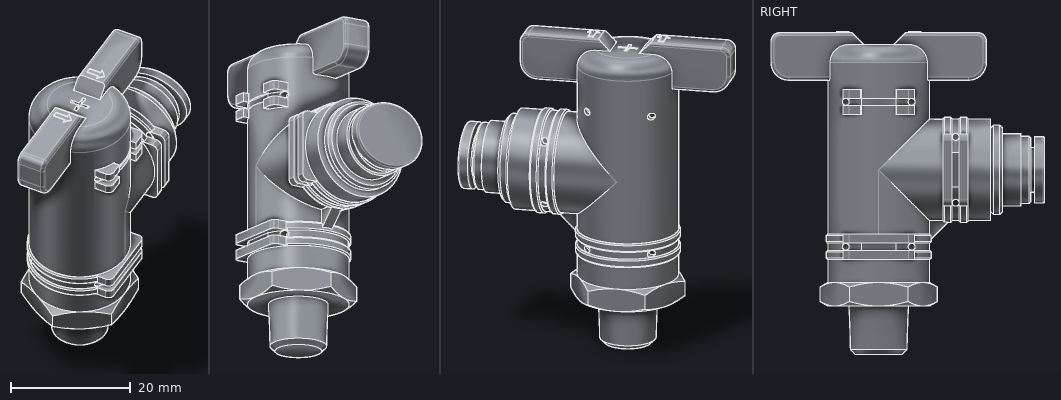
import cadquery as cq
import math

body_radius = 8.5
body_top = 51.8
dome_radius = 3.05

stud_bottom_radius = 4.75
stud_top_radius = 5.0
stud_chamfer = 0.85

hex_bottom = 8.1
hex_top = 12.05
hex_across_flats = 2 * body_radius
hex_bevel_angle = 30.0

branch_z = 30.85
branch_end = 18.7
collar_radius = 7.5
collar_end = 20.7
collar_bevel = 0.5
socket_radius = 6.05
socket_end = 23.75
sleeve_radius = 5.65
sleeve_end = 25.4
sleeve_chamfer = 0.3
neck_radius = 3.75
button_start = 26.0
button_end = 27.7
button_half_width = 6.55
button_half_height = 5.55
button_edge_round = 0.3

ring_radius = 8.8
ring_width = 1.5
ring_bevel = 0.25
clamp_gap = 1.2
ring_offset = (clamp_gap + ring_width) / 2
tab_reach = 9.0
tab_half_length = 6.0
tab_corner_radius = 1.0
gap_floor = tab_reach - tab_corner_radius
notch_half_length = 3.0
lower_clamp_z = 18.0
upper_clamp_z = 42.2
branch_clamp_y = 12.85

pin_diameter = 1.15
pin_offset = 5.5
core_radius = 7.5

rib_thickness = 2.0
rib_reach = 11.85

handle_reach = 18.0
handle_half_width = 2.5
handle_bottom = 45.8
handle_top = 53.8
handle_top_corner = 1.5
handle_bottom_corner = 3.0
handle_edge_round = 0.55
wing_inner_y = 2.5

arrow_y = 6.0
arrow_height = 0.15
arrow_half_length = 1.55
arrow_shaft_half_width = 0.45
arrow_head_half_width = 1.05
arrow_head_start = 0.55

cross_half_length = 1.65
cross_arm_width = 0.5


def cylinder(radius, start, end):
    """Cylinder along Z between two heights."""
    return cq.Workplane("XY").workplane(offset=start).circle(radius).extrude(end - start)


def to_branch(shape):
    """Move a shape built along Z onto the branch axis: its Z becomes Y."""
    return shape.rotate((0, 0, 0), (1, 0, 0), -90).translate((0, 0, branch_z))


def make_stud():
    outline = [
        (0, 0),
        (stud_bottom_radius - stud_chamfer, 0),
        (stud_bottom_radius, stud_chamfer),
        (stud_top_radius, hex_bottom),
        (0, hex_bottom),
    ]
    return cq.Workplane("XZ").polyline(outline).close().revolve(360, (0, 0), (0, 1))


def make_hexagon():
    corner_radius = hex_across_flats / 2 / math.cos(math.radians(30))
    hexagon = (
        cq.Workplane("XY")
        .workplane(offset=hex_bottom)
        .polygon(6, 2 * corner_radius)
        .extrude(hex_top - hex_bottom)
        .rotate((0, 0, 0), (0, 0, 1), 30)
    )
    flat_radius = hex_across_flats / 2
    bevel_drop = (corner_radius - flat_radius) * math.tan(math.radians(hex_bevel_angle))
    bevel_outline = [
        (0, hex_bottom),
        (flat_radius, hex_bottom),
        (corner_radius, hex_bottom + bevel_drop),
        (corner_radius, hex_top - bevel_drop),
        (flat_radius, hex_top),
        (0, hex_top),
    ]
    bevel = cq.Workplane("XZ").polyline(bevel_outline).close().revolve(360, (0, 0), (0, 1))
    return hexagon.intersect(bevel)


def make_body():
    return cylinder(body_radius, hex_top, body_top).faces(">Z").edges().fillet(dome_radius)


def make_branch():
    barrel = cylinder(body_radius, 0, branch_end)
    collar = cylinder(collar_radius, branch_end, collar_end).edges().chamfer(collar_bevel)
    socket = cylinder(socket_radius, branch_end, socket_end)
    sleeve = cylinder(sleeve_radius, socket_end, sleeve_end).faces(">Z").edges().chamfer(sleeve_chamfer)
    neck = cylinder(neck_radius, sleeve_end, button_start)
    button = (
        cq.Workplane("XY")
        .workplane(offset=button_start)
        .ellipse(button_half_width, button_half_height)
        .extrude(button_end - button_start)
        .faces(">Z")
        .edges()
        .fillet(button_edge_round)
    )
    return to_branch(barrel.union(collar).union(socket).union(sleeve).union(neck).union(button))


def make_rib():
    barrel_bottom = branch_z - body_radius
    rib_foot = barrel_bottom - (rib_reach - body_radius)
    outline = [
        (0, branch_z),
        (rib_reach, branch_z),
        (rib_reach, barrel_bottom),
        (body_radius, rib_foot),
        (0, rib_foot),
    ]
    return cq.Workplane("YZ").polyline(outline).close().extrude(rib_thickness / 2, both=True)


def make_rings(middle):
    """Pair of bevelled rings around Z, either side of the middle height."""
    rings = cq.Workplane("XY")
    for side in (-1, 1):
        start = middle + side * ring_offset - ring_width / 2
        ring = cylinder(ring_radius, start, start + ring_width).edges().chamfer(ring_bevel)
        rings = rings.union(ring)
    return rings


def make_tabs(middle, notched=False):
    """Pair of tabs reaching to +X, with rounded outer corners and an optional end notch."""
    tabs = cq.Workplane("XY")
    for side in (-1, 1):
        tab = (
            cq.Workplane("XY")
            .box(tab_reach, 2 * tab_half_length, ring_width, centered=(False, True, True))
            .edges("|Z and >X")
            .fillet(tab_corner_radius)
        )
        if notched:
            notch = cq.Workplane("XY").box(
                tab_reach - gap_floor, 2 * notch_half_length, ring_width, centered=(False, True, True)
            )
            tab = tab.cut(notch.translate((gap_floor, 0, 0)))
        tabs = tabs.union(tab.translate((0, 0, middle + side * ring_offset)))
    return tabs


def make_clamp_cuts(middle):
    """Flat floor of the tab gap and the four blind pin holes at the middle height."""
    cuts = (
        cq.Workplane("XY")
        .box(tab_reach - gap_floor, 2 * tab_half_length, clamp_gap, centered=(False, True, True))
        .translate((gap_floor, 0, middle))
    )
    core = cylinder(core_radius, middle - clamp_gap, middle + clamp_gap)
    pins = (
        cq.Workplane("YZ")
        .pushPoints([(-pin_offset, middle), (pin_offset, middle)])
        .circle(pin_diameter / 2)
        .extrude(tab_reach, both=True)
        .cut(core)
    )
    return cuts.union(pins)


def make_handle():
    height = handle_top - handle_bottom
    bar = (
        cq.Workplane("XY")
        .box(2 * handle_half_width, 2 * handle_reach, height, centered=(True, True, False))
        .translate((0, 0, handle_bottom))
    )
    bar = bar.edges("|X and >Z").fillet(handle_top_corner)
    bar = bar.edges("|X and <Z").fillet(handle_bottom_corner)
    bar = bar.faces("<X or >X").edges().fillet(handle_edge_round)
    wing_rise = handle_top - body_top
    valley_outline = [
        (-wing_inner_y, body_top),
        (wing_inner_y, body_top),
        (wing_inner_y + wing_rise, handle_top),
        (-wing_inner_y - wing_rise, handle_top),
    ]
    valley = cq.Workplane("YZ").polyline(valley_outline).close().extrude(handle_half_width, both=True)
    return bar.cut(valley)


def make_arrows():
    """Raised arrows pointing to +X, one on each wing."""
    outline = [
        (-arrow_half_length, -arrow_shaft_half_width),
        (arrow_head_start, -arrow_shaft_half_width),
        (arrow_head_start, -arrow_head_half_width),
        (arrow_half_length, 0),
        (arrow_head_start, arrow_head_half_width),
        (arrow_head_start, arrow_shaft_half_width),
        (-arrow_half_length, arrow_shaft_half_width),
    ]
    arrow = cq.Workplane("XY").polyline(outline).close().extrude(arrow_height)
    front_arrow = arrow.translate((0, -arrow_y, handle_top))
    rear_arrow = arrow.translate((0, arrow_y, handle_top))
    return front_arrow.union(rear_arrow)


def make_cross():
    """Two crossing V-shaped slots, deepest on the body axis, with 45 degree floors."""
    outline = [
        (-cross_half_length, body_top),
        (cross_half_length, body_top),
        (0, body_top - cross_half_length),
    ]
    slot = cq.Workplane("XZ").polyline(outline).close().extrude(cross_arm_width / 2, both=True)
    return slot.union(slot.rotate((0, 0, 0), (0, 0, 1), 90))


solid = make_body().union(make_branch()).union(make_hexagon()).union(make_stud()).union(make_rib())

solid = solid.union(make_rings(lower_clamp_z)).union(make_tabs(lower_clamp_z))
solid = solid.union(make_tabs(upper_clamp_z, notched=True))
solid = solid.union(to_branch(make_rings(branch_clamp_y))).union(to_branch(make_tabs(branch_clamp_y)))

solid = solid.cut(make_clamp_cuts(lower_clamp_z)).cut(make_clamp_cuts(upper_clamp_z))
solid = solid.cut(to_branch(make_clamp_cuts(branch_clamp_y)))

solid = solid.union(make_handle()).union(make_arrows()).cut(make_cross())

result = solid